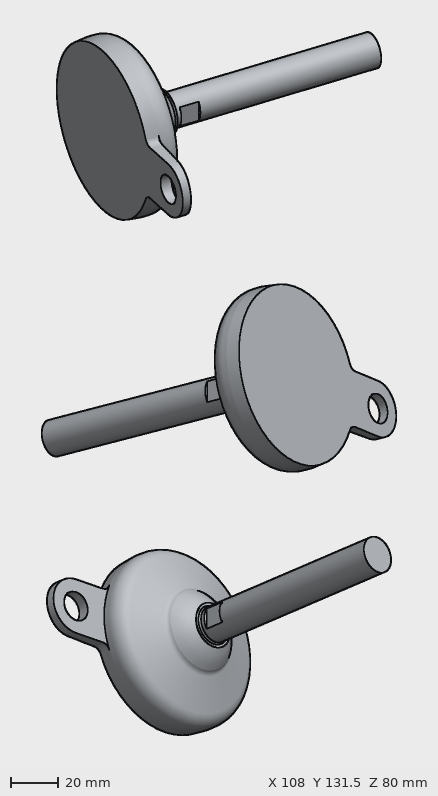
import cadquery as cq
import math

base_radius = 39.3
rim_radius = 40.0
rim_start = 6.2
rim_end = 9.1
shoulder_rounding = 7.5
shoulder_slope = 20.6
neck_start = 21.8
dome_start = 23.5
dome_end = 30.1
dome_radius = 23.1
dome_centre = 9.0
lip_radius = 10.0
lip_height = 30.9

lug_radius = 12.5
lug_hole_diameter = 13.0
lug_reach = 68.0
lug_tip_thickness = 4.1
lug_root = 36.3
lug_root_thickness = 6.0
lug_root_fillet = 4.0

stem_radius = 8.0
stem_end = 131.5
collar_radius = 8.7
collar_top = 31.8
flat_spacing = 13.0
flat_start = 33.8
flat_length = 9.3
socket_floor = dome_start


def dome_radius_at(height):
    return math.sqrt(dome_radius ** 2 - (height - dome_centre) ** 2)


def make_foot_body():
    slope = math.radians(shoulder_slope)
    rounding_centre = rim_radius - shoulder_rounding

    def rounding_point(angle):
        """Point on the shoulder rounding, with the angle measured from the base plane."""
        return (
            rounding_centre + shoulder_rounding * math.cos(angle),
            rim_end + shoulder_rounding * math.sin(angle),
        )

    cone_angle = math.pi / 2 - slope
    cone_foot = rounding_point(cone_angle)
    neck_radius = cone_foot[0] - (neck_start - cone_foot[1]) / math.tan(slope)
    dome_middle = (dome_start + dome_end) / 2
    profile = (
        cq.Workplane("XY")
        .lineTo(base_radius, 0)
        .lineTo(rim_radius, rim_start)
        .lineTo(rim_radius, rim_end)
        .threePointArc(rounding_point(cone_angle / 2), cone_foot)
        .lineTo(neck_radius, neck_start)
        .tangentArcPoint((dome_radius_at(dome_start), dome_start), relative=False)
        .threePointArc(
            (dome_radius_at(dome_middle), dome_middle),
            (dome_radius_at(dome_end), dome_end),
        )
        .lineTo(lip_radius, lip_height)
        .lineTo(0, lip_height)
        .close()
    )
    return profile.revolve(360, (0, 0, 0), (0, 1, 0))


def make_lug():
    """Plan outline of the lug, limited by a side profile that thins towards the tip."""
    end_centre = lug_reach - lug_radius
    plan = (
        cq.Workplane("XZ")
        .moveTo(0, -lug_radius)
        .lineTo(end_centre, -lug_radius)
        .threePointArc((lug_reach, 0), (end_centre, lug_radius))
        .lineTo(0, lug_radius)
        .close()
        .extrude(-rim_end)
    )
    taper = (
        cq.Workplane("XY")
        .lineTo(lug_reach, 0)
        .lineTo(lug_reach, lug_tip_thickness)
        .lineTo(lug_root, lug_root_thickness)
        .lineTo(0, lug_root_thickness)
        .close()
        .extrude(lug_radius, both=True)
    )
    return plan.intersect(taper)


def make_lug_hole():
    return (
        cq.Workplane("XZ")
        .center(lug_reach - lug_radius, 0)
        .circle(lug_hole_diameter / 2)
        .extrude(-rim_end)
    )


def make_stem():
    stem = (
        cq.Workplane("XY")
        .moveTo(0, socket_floor)
        .lineTo(collar_radius, socket_floor)
        .lineTo(collar_radius, lip_height)
        .lineTo(stem_radius, collar_top)
        .lineTo(stem_radius, stem_end)
        .lineTo(0, stem_end)
        .close()
        .revolve(360, (0, 0, 0), (0, 1, 0))
    )
    for side in (-1, 1):
        flat_cutter = cq.Workplane("XY").box(stem_radius, flat_length, 2 * stem_radius).translate(
            (side * (flat_spacing + stem_radius) / 2, flat_start + flat_length / 2, 0)
        )
        stem = stem.cut(flat_cutter)
    return stem


def make_socket():
    """Blind bore in the foot that receives the stem collar."""
    return (
        cq.Workplane("XZ", origin=(0, socket_floor, 0))
        .circle(collar_radius)
        .extrude(socket_floor - lip_height)
    )


def make_foot():
    foot = make_foot_body().union(make_lug())
    foot = foot.edges("%HYPERBOLA").fillet(lug_root_fillet)
    return foot.cut(make_lug_hole()).cut(make_socket())


foot = make_foot()
stem = make_stem()
result = cq.Compound.makeCompound([foot.val(), stem.val()])